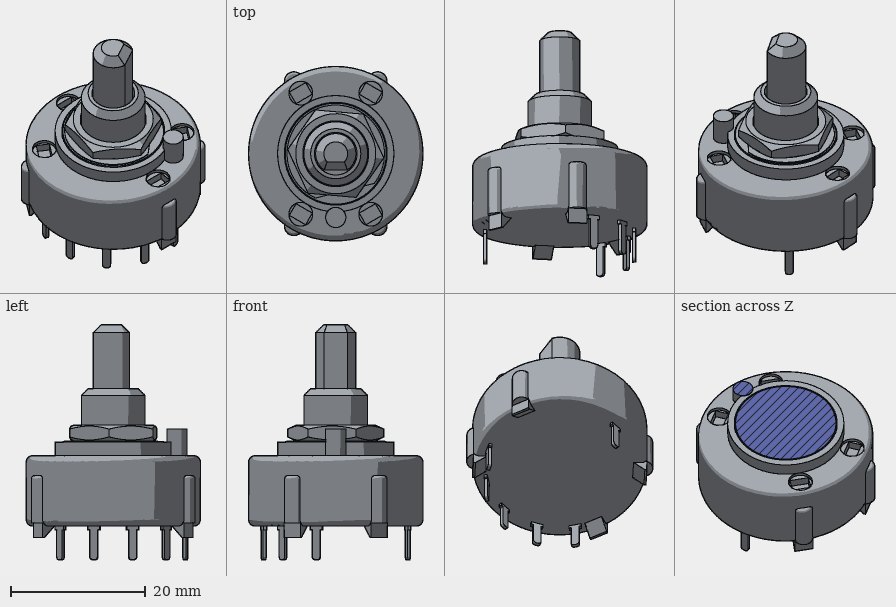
import cadquery as cq
import math

PIN_TIP_Z = 0.0
BODY_BOTTOM_Z = 5.0
BODY_TOP_Z = 15.5
COLLAR_TOP_Z = 17.5
WASHER_TOP_Z = 17.6
NUT_BOTTOM_Z = 17.7
NUT_TOP_Z = 20.02
PEG_TOP_Z = 19.5
BUSHING_TOP_Z = 25.48
SHAFT_TOP_Z = 35.0

BODY_DIA = 25.97
BODY_FILLET = 1.0
COLLAR_DIA = 17.3
WASHER_SEAT_DIA = 15.3
WASHER_SEAT_DEPTH = 0.5
WASHER_DIA = 15.0
SPACER_DIA = 14.5
SPACER_FLAT_OFFSET = 5.67
SPACER_FLAT_ANGLE = -76.0
BUSHING_DIA = 9.5
BUSHING_BORE_DIA = 6.35
BUSHING_BORE_DEPTH = 5.0
BUSHING_CHAMFER = 1.0

NUT_ACROSS_CORNERS = 14.35
NUT_BORE_DIA = 9.8
NUT_FACE_DIA = 11.9
NUT_CHAMFER_ANGLE = 25.0
NUT_TURN = -5.0

SHAFT_DIA = 6.0
SHAFT_TIP_DIA = 3.55
SHAFT_FLAT_OFFSET = 2.45

PEG_DIA = 3.0
PEG_OFFSET = 9.5

HOOK_ANGLES = [60, 120, 240, 300]
RIB_DIA = 2.8
RIB_RADIUS = 12.45
RIB_TOP_Z = 12.53
RIB_TOP_FILLET = 0.5
RIB_BOTTOM_Z = 5.5
HOOK_WIDTH = 2.8
HOOK_OUTER_RADIUS = 12.9
HOOK_TIP_THICKNESS = 0.3
HOOK_BOTTOM_Z = 3.32
WINDOW_RADIUS = 10.4
WINDOW_BORE_DIA = 3.55
WINDOW_BORE_DEPTH = 0.5
WINDOW_LENGTH = 2.8
WINDOW_WIDTH = 2.0
WINDOW_DEPTH = 1.75

PIN_ANGLES = [135, 165, 195, 225, 255, 15]
PIN_RADIUS = 11.1
PIN_WIDTH = 1.2
PIN_THICKNESS = 0.5
PIN_TIP_FILLET = 0.5
PIN_SHOULDER_WIDTH = 1.82
PIN_SHOULDER_Z = 4.45

OVERLAP = 0.5


def cylinder(diameter, bottom_z, top_z):
    return cq.Workplane("XY").workplane(offset=bottom_z).circle(diameter / 2).extrude(top_z - bottom_z)


def turned(solid, angle):
    return solid.rotate((0, 0, 0), (0, 0, 1), angle)


def make_body():
    body = cylinder(BODY_DIA, BODY_BOTTOM_Z, BODY_TOP_Z).edges().fillet(BODY_FILLET)
    seat_z = COLLAR_TOP_Z - WASHER_SEAT_DEPTH
    collar = cylinder(COLLAR_DIA, BODY_TOP_Z - OVERLAP, COLLAR_TOP_Z)
    collar = collar.cut(cylinder(WASHER_SEAT_DIA, seat_z, COLLAR_TOP_Z))
    washer = cylinder(WASHER_DIA, seat_z, WASHER_TOP_Z)
    peg = cylinder(PEG_DIA, BODY_TOP_Z - OVERLAP, PEG_TOP_Z).translate((0, -PEG_OFFSET, 0))
    return body.union(collar).union(washer).union(peg)


def make_spacer():
    disc = cylinder(SPACER_DIA, WASHER_TOP_Z, NUT_BOTTOM_Z)
    beyond_flat = (
        cq.Workplane("XY")
        .workplane(offset=WASHER_TOP_Z)
        .rect(SPACER_DIA, SPACER_DIA)
        .extrude(NUT_BOTTOM_Z - WASHER_TOP_Z)
        .translate((SPACER_FLAT_OFFSET + SPACER_DIA / 2, 0, 0))
    )
    return disc.cut(turned(beyond_flat, SPACER_FLAT_ANGLE))


def make_nut():
    height = NUT_TOP_Z - NUT_BOTTOM_Z
    corner_radius = NUT_ACROSS_CORNERS / 2
    face_radius = NUT_FACE_DIA / 2
    chamfer_drop = (corner_radius - face_radius) * math.tan(math.radians(NUT_CHAMFER_ANGLE))
    nut = cq.Workplane("XY").polygon(6, NUT_ACROSS_CORNERS).extrude(height)
    envelope = (
        cq.Workplane("XZ")
        .moveTo(0, 0)
        .lineTo(face_radius, 0)
        .lineTo(corner_radius, chamfer_drop)
        .lineTo(corner_radius, height - chamfer_drop)
        .lineTo(face_radius, height)
        .lineTo(0, height)
        .close()
        .revolve(360, (0, 0, 0), (0, 1, 0))
    )
    nut = nut.intersect(envelope).cut(cylinder(NUT_BORE_DIA, 0, height))
    return turned(nut, NUT_TURN).translate((0, 0, NUT_BOTTOM_Z))


def make_bushing():
    bushing = cylinder(BUSHING_DIA, COLLAR_TOP_Z, BUSHING_TOP_Z).faces(">Z").chamfer(BUSHING_CHAMFER)
    return bushing.cut(cylinder(BUSHING_BORE_DIA, BUSHING_TOP_Z - BUSHING_BORE_DEPTH, BUSHING_TOP_Z))


def make_shaft():
    radius = SHAFT_DIA / 2
    chamfer = (SHAFT_DIA - SHAFT_TIP_DIA) / 2
    bottom_z = BUSHING_TOP_Z - BUSHING_BORE_DEPTH - OVERLAP
    shaft = cylinder(SHAFT_DIA, bottom_z, SHAFT_TOP_Z).faces(">Z").chamfer(chamfer)
    flat_cut = (
        cq.Workplane("YZ")
        .moveTo(-radius, bottom_z)
        .lineTo(-SHAFT_FLAT_OFFSET, bottom_z)
        .lineTo(-SHAFT_FLAT_OFFSET, SHAFT_TOP_Z - chamfer)
        .lineTo(-SHAFT_FLAT_OFFSET + chamfer, SHAFT_TOP_Z)
        .lineTo(-radius, SHAFT_TOP_Z)
        .close()
        .extrude(radius, both=True)
    )
    return shaft.cut(flat_cut)


def make_rib_and_hook():
    rib = cylinder(RIB_DIA, RIB_BOTTOM_Z, RIB_TOP_Z).faces(">Z").edges().fillet(RIB_TOP_FILLET)
    hook_top_z = BODY_BOTTOM_Z + OVERLAP
    tip_inner_radius = HOOK_OUTER_RADIUS - HOOK_TIP_THICKNESS
    root_inner_radius = tip_inner_radius - (hook_top_z - HOOK_BOTTOM_Z)
    hook = (
        cq.Workplane("XZ")
        .moveTo(HOOK_OUTER_RADIUS, HOOK_BOTTOM_Z)
        .lineTo(HOOK_OUTER_RADIUS, hook_top_z)
        .lineTo(root_inner_radius, hook_top_z)
        .lineTo(tip_inner_radius, HOOK_BOTTOM_Z)
        .close()
        .extrude(HOOK_WIDTH / 2, both=True)
    )
    return rib.translate((RIB_RADIUS, 0, 0)).union(hook)


def make_window():
    bore = cylinder(WINDOW_BORE_DIA, BODY_TOP_Z - WINDOW_BORE_DEPTH, BODY_TOP_Z)
    pocket = (
        cq.Workplane("XY")
        .workplane(offset=BODY_TOP_Z - WINDOW_DEPTH)
        .rect(WINDOW_WIDTH, WINDOW_LENGTH)
        .extrude(WINDOW_DEPTH)
    )
    return bore.union(pocket).translate((WINDOW_RADIUS, 0, 0))


def make_pin():
    top_z = BODY_BOTTOM_Z + OVERLAP
    blade = (
        cq.Workplane("XY")
        .workplane(offset=PIN_TIP_Z)
        .rect(PIN_THICKNESS, PIN_WIDTH)
        .extrude(top_z - PIN_TIP_Z)
        .faces("<Z")
        .edges("|X")
        .fillet(PIN_TIP_FILLET)
    )
    shoulder = (
        cq.Workplane("XY")
        .workplane(offset=PIN_SHOULDER_Z)
        .rect(PIN_THICKNESS, PIN_SHOULDER_WIDTH)
        .extrude(top_z - PIN_SHOULDER_Z)
    )
    return blade.union(shoulder).translate((PIN_RADIUS, 0, 0))


result = make_body()
for piece in [make_bushing(), make_spacer(), make_nut(), make_shaft()]:
    result = result.union(piece)

for angle in HOOK_ANGLES:
    result = result.union(turned(make_rib_and_hook(), angle)).cut(turned(make_window(), angle))

for angle in PIN_ANGLES:
    result = result.union(turned(make_pin(), angle))